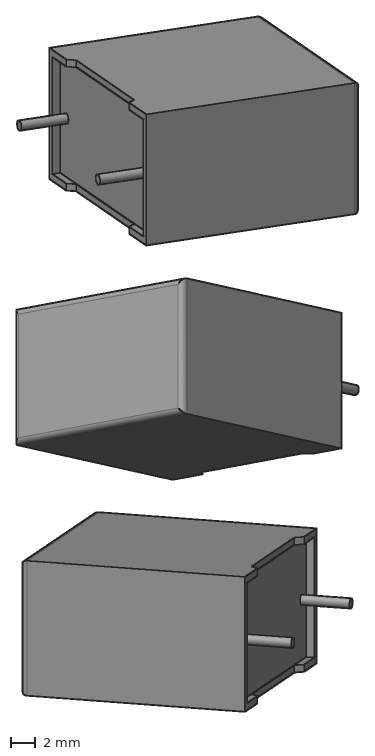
import cadquery as cq

case_width = 18.5
case_height = 11.2
overall_length = 22.6
lead_reach = 3.5
case_length = overall_length - lead_reach
wall = 0.6
back_edge_radius = 0.5

notch_depth = 0.65
notch_floor_width = 11.0
notch_mouth_width = 12.0

fill_recess = 0.7
lead_diameter = 0.85
lead_pitch = 15.0

cavity_width = case_width - 2 * wall
cavity_height = case_height - 2 * wall
cavity_depth = case_length - wall
lead_length = lead_reach + fill_recess


def block(width, height, start, length):
    """Box centred on the Y axis, running from Y = start towards +Y."""
    return cq.Workplane("XY").box(width, length, height).translate((0, start + length / 2, 0))


def rim_notch():
    """Tapered cutter through both the upper and lower walls."""
    return (
        cq.Workplane("XY")
        .polyline([
            (-notch_mouth_width / 2, 0),
            (-notch_floor_width / 2, notch_depth),
            (notch_floor_width / 2, notch_depth),
            (notch_mouth_width / 2, 0),
        ])
        .close()
        .extrude(case_height / 2, both=True)
    )


def make_case():
    shell = block(case_width, case_height, 0, case_length).faces(">Y").edges().fillet(back_edge_radius)
    cavity = block(cavity_width, cavity_height, 0, cavity_depth)
    return shell.cut(cavity).cut(rim_notch())


def make_fill():
    """Resin that fills the cavity up to just below the rim."""
    return block(cavity_width, cavity_height, fill_recess, cavity_depth - fill_recess)


def make_lead(x):
    """Round lead standing on the resin surface and pointing towards -Y."""
    return (
        cq.Workplane("XZ", origin=(x, fill_recess, 0))
        .circle(lead_diameter / 2)
        .extrude(lead_length)
    )


case = make_case()
fill = make_fill()
leads = [make_lead(side * lead_pitch / 2) for side in (-1, 1)]

result = cq.Compound.makeCompound([case.val(), fill.val(), *[lead.val() for lead in leads]])